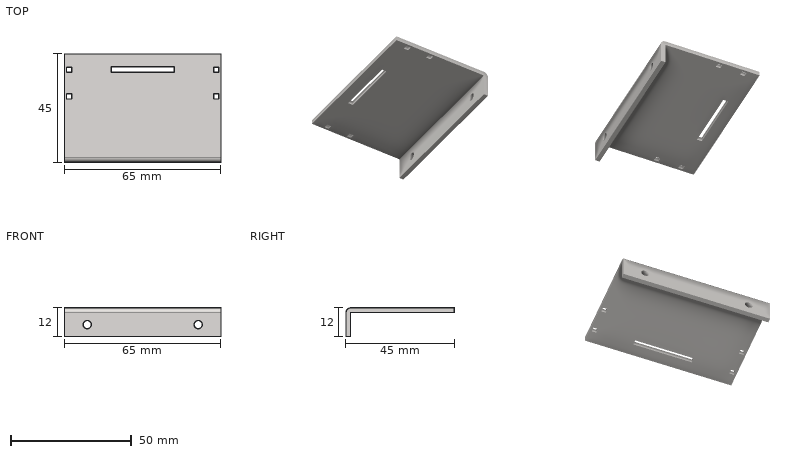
import cadquery as cq

width = 65.0
depth = 45.0
height = 12.0
thickness = 2.0

flange_hole_diameter = 3.3
flange_hole_spacing = 46.0
flange_hole_height = 5.0

square_size = 2.0
square_side_distance = 2.0
square_rear_distance = 6.55
square_row_spacing = 11.05

slot_length = 26.0
slot_width = 2.2

square_rear_y = depth - square_rear_distance
slot_y = square_rear_y - square_size / 2 + slot_width / 2


def make_bent_sheet():
    """L-shaped sheet with a sharp inner corner and an outer bend radius equal to the thickness."""
    profile = (
        cq.Workplane("YZ", origin=(-width / 2, 0, 0))
        .moveTo(0, 0)
        .lineTo(thickness, 0)
        .lineTo(thickness, height - thickness)
        .lineTo(depth, height - thickness)
        .lineTo(depth, height)
        .lineTo(thickness, height)
        .radiusArc((0, height - thickness), -thickness)
        .close()
    )
    return profile.extrude(width)


def make_flange_holes():
    """Two round cutters running through the flange along Y."""
    half_spacing = flange_hole_spacing / 2
    return (
        cq.Workplane("XZ")
        .pushPoints([(side * half_spacing, flange_hole_height) for side in (-1, 1)])
        .circle(flange_hole_diameter / 2)
        .extrude(-thickness)
    )


def make_square_holes():
    """Four square cutters through the plate, two on each side."""
    square_x = width / 2 - square_side_distance
    rows = (square_rear_y, square_rear_y - square_row_spacing)
    return (
        cq.Workplane("XY", origin=(0, 0, height - thickness))
        .pushPoints([(side * square_x, row_y) for side in (-1, 1) for row_y in rows])
        .rect(square_size, square_size)
        .extrude(thickness)
    )


def make_slot():
    """Rectangular slot cutter through the plate."""
    return (
        cq.Workplane("XY", origin=(0, slot_y, height - thickness))
        .rect(slot_length, slot_width)
        .extrude(thickness)
    )


result = make_bent_sheet().cut(make_flange_holes()).cut(make_square_holes()).cut(make_slot())